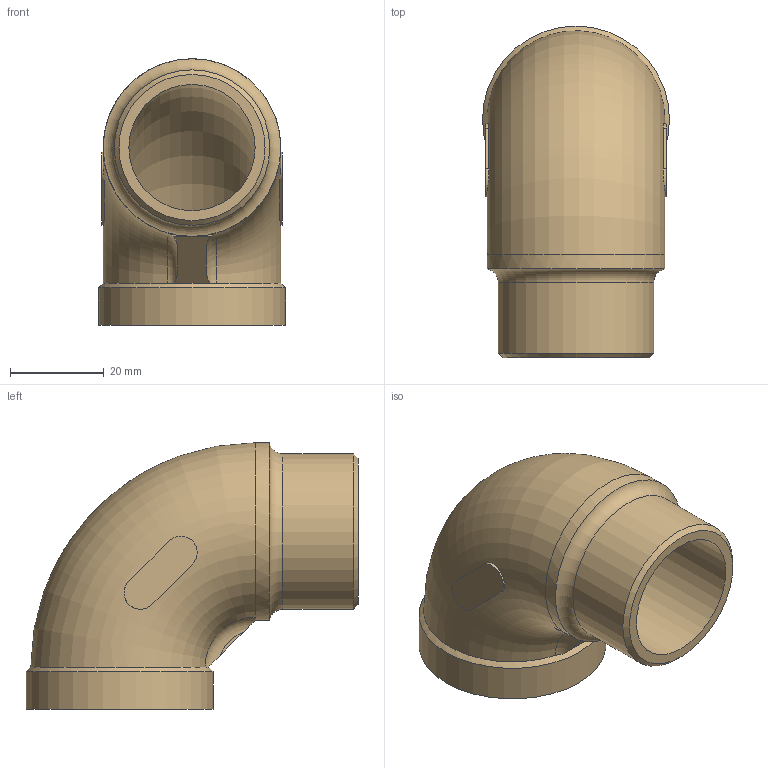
import cadquery as cq
import math


body_radius = 19.0
bore_radius = 13.5
bend_radius = 29.0
bend_angle = 90.0
bend_start_z = 9.0
outlet_axis_z = bend_start_z + bend_radius

collar_radius = 20.0
collar_chamfer = collar_radius - body_radius

shoulder_length = 3.0
spigot_radius = 33.25 / 2
spigot_length = 19.0
spigot_chamfer = 1.0
neck_fillet = 3.0
shoulder_y = -bend_radius - shoulder_length
outlet_end_y = shoulder_y - spigot_length

web_width = 6.2
web_fillet = 3.0

pad_length = 19.2
pad_width = 7.0
pad_face_x = 19.35
pad_tilt = -45.0
pad_bend_radius = 28.6


def bend(radius):
    """Quarter torus from the inlet axis to the outlet axis."""
    return (
        cq.Workplane("XY", origin=(0, 0, bend_start_z))
        .circle(radius)
        .revolve(bend_angle, (0, -bend_radius, 0), (1, -bend_radius, 0))
    )


def collar():
    """Inlet collar, chamfered down to the body diameter."""
    return (
        cq.Workplane("XY")
        .circle(collar_radius)
        .extrude(bend_start_z)
        .faces(">Z")
        .chamfer(collar_chamfer)
    )


def outlet():
    """Shoulder, concave neck and chamfered spigot turned about the outlet axis."""
    fillet_center_r = spigot_radius + neck_fillet
    neck_rise = fillet_center_r - body_radius
    fillet_center_y = shoulder_y - math.sqrt(neck_fillet**2 - neck_rise**2)
    mid_angle = (math.asin(neck_rise / neck_fillet) + math.pi / 2) / 2
    neck_mid = (
        fillet_center_r - neck_fillet * math.sin(mid_angle),
        fillet_center_y + neck_fillet * math.cos(mid_angle),
    )
    return (
        cq.Workplane("XY")
        .moveTo(0, -bend_radius)
        .lineTo(body_radius, -bend_radius)
        .lineTo(body_radius, shoulder_y)
        .threePointArc(neck_mid, (spigot_radius, fillet_center_y))
        .lineTo(spigot_radius, outlet_end_y + spigot_chamfer)
        .lineTo(spigot_radius - spigot_chamfer, outlet_end_y)
        .lineTo(0, outlet_end_y)
        .close()
        .revolve(360, (0, 0), (0, 1))
        .translate((0, 0, outlet_axis_z))
    )


def web():
    """Flat-faced web filling the inside of the bend, flared by fillets onto the bend."""
    half_width = web_width / 2
    fillet_x = half_width + web_fillet
    fillet_depth = math.sqrt((body_radius + web_fillet) ** 2 - fillet_x**2)
    touch_scale = body_radius / (body_radius + web_fillet)
    touch_x = fillet_x * touch_scale
    touch_depth = fillet_depth * touch_scale
    mid_angle = math.atan2(fillet_depth, fillet_x) / 2
    arc_mid_x = fillet_x - web_fillet * math.cos(mid_angle)
    arc_mid_depth = fillet_depth - web_fillet * math.sin(mid_angle)
    root_depth = (body_radius + bore_radius) / 2
    section = (
        cq.Workplane("XY", origin=(0, 0, bend_start_z))
        .moveTo(-touch_x, -root_depth)
        .lineTo(-touch_x, -touch_depth)
        .threePointArc((-arc_mid_x, -arc_mid_depth), (-half_width, -fillet_depth))
        .lineTo(-half_width, -bend_radius)
        .lineTo(half_width, -bend_radius)
        .lineTo(half_width, -fillet_depth)
        .threePointArc((arc_mid_x, -arc_mid_depth), (touch_x, -touch_depth))
        .lineTo(touch_x, -root_depth)
        .close()
    )
    swept = section.revolve(bend_angle, (0, -bend_radius, 0), (1, -bend_radius, 0))
    wedge = (
        cq.Workplane("YZ")
        .moveTo(-body_radius, bend_start_z)
        .lineTo(-bend_radius, outlet_axis_z - body_radius)
        .lineTo(-bend_radius, outlet_axis_z)
        .lineTo(0, outlet_axis_z)
        .lineTo(0, bend_start_z)
        .close()
        .extrude(body_radius, both=True)
    )
    return swept.intersect(wedge)


def badge_pads():
    """Pair of flat obround pads at the middle of the bend, running at 45 degrees."""
    pad_offset = pad_bend_radius * math.sqrt(0.5)
    return (
        cq.Workplane("YZ")
        .center(pad_offset - bend_radius, pad_offset + bend_start_z)
        .slot2D(pad_length, pad_width, pad_tilt)
        .extrude(pad_face_x, both=True)
    )


def bore():
    """Constant bore running straight, round the bend and straight out again."""
    inlet_bore = cq.Workplane("XY").circle(bore_radius).extrude(bend_start_z)
    outlet_bore = (
        cq.Workplane("XZ", origin=(0, -bend_radius, outlet_axis_z))
        .circle(bore_radius)
        .extrude(shoulder_length + spigot_length)
    )
    return inlet_bore.union(bend(bore_radius)).union(outlet_bore)


elbow = bend(body_radius).union(collar()).union(outlet())
elbow = elbow.union(web()).union(badge_pads())
result = elbow.cut(bore())